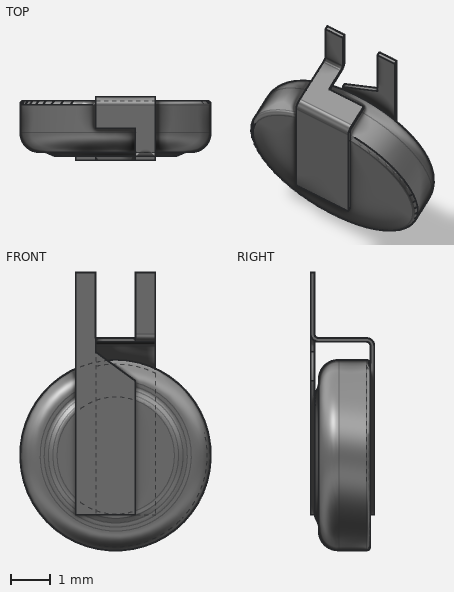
import cadquery as cq
import math

cell_radius = 2.4
can_depth = 1.3
back_edge_radius = 0.1
front_edge_radius = 0.5

cap_base_radius = 1.8
cap_height = 0.1
cap_blend_radius = 0.25
cap_flank_angle = math.radians(25)

sheet = 0.1
bend_inner_radius = 0.1
bend_outer_radius = bend_inner_radius + sheet
tab_left = -1.0
tab_right = 1.0
leg_width = 0.5
tab_bottom = -1.5
leg_top = 4.6
shoulder_high = 2.6
shoulder_low = 1.87
bridge_top = 2.95
bridge_cut_back_depth = 0.7

cap_front = -(can_depth + cap_height)
tab_front = cap_front - sheet


def make_cell():
    """Revolve the half section of the can and its cap around the Y axis."""
    can_front = -can_depth
    blend_width = cap_blend_radius * math.sin(cap_flank_angle)
    blend_rise = cap_blend_radius * (1 - math.cos(cap_flank_angle))
    flank_width = (cap_height - 2 * blend_rise) / math.tan(cap_flank_angle)
    flank_base_radius = cap_base_radius - blend_width
    flank_top_radius = flank_base_radius - flank_width
    cap_flat_radius = flank_top_radius - blend_width
    section = (
        cq.Workplane("ZY")
        .lineTo(cell_radius - back_edge_radius, 0)
        .radiusArc((cell_radius, -back_edge_radius), back_edge_radius)
        .lineTo(cell_radius, can_front + front_edge_radius)
        .radiusArc((cell_radius - front_edge_radius, can_front), front_edge_radius)
        .lineTo(cap_base_radius, can_front)
        .radiusArc((flank_base_radius, can_front - blend_rise), -cap_blend_radius)
        .lineTo(flank_top_radius, cap_front + blend_rise)
        .radiusArc((cap_flat_radius, cap_front), cap_blend_radius)
        .lineTo(0, cap_front)
        .close()
    )
    return section.revolve(360, (0, 0, 0), (0, 1, 0))


def make_front_tab():
    """Flat tab on the cap, narrowing over a sloped shoulder to an upright leg."""
    leg_inner = tab_left + leg_width
    body_right = tab_right - leg_width
    outline = [
        (tab_left, tab_bottom),
        (body_right, tab_bottom),
        (body_right, shoulder_low),
        (leg_inner, shoulder_high),
        (leg_inner, leg_top),
        (tab_left, leg_top),
    ]
    return cq.Workplane("XZ", origin=(0, cap_front, 0)).polyline(outline).close().extrude(sheet)


def make_back_tab():
    """Tab on the back face, bent forward over the cell and up again into a leg."""
    plate_left = tab_left + leg_width
    leg_left = tab_right - leg_width
    bridge_bottom = bridge_top - sheet
    leg_back = tab_front + sheet
    strip = (
        cq.Workplane("YZ", origin=(plate_left, 0, 0))
        .moveTo(0, tab_bottom)
        .lineTo(sheet, tab_bottom)
        .lineTo(sheet, bridge_top - bend_outer_radius)
        .radiusArc((sheet - bend_outer_radius, bridge_top), -bend_outer_radius)
        .lineTo(leg_back + bend_inner_radius, bridge_top)
        .radiusArc((leg_back, bridge_top + bend_inner_radius), bend_inner_radius)
        .lineTo(leg_back, leg_top)
        .lineTo(tab_front, leg_top)
        .lineTo(tab_front, bridge_bottom + bend_outer_radius)
        .radiusArc((tab_front + bend_outer_radius, bridge_bottom), -bend_outer_radius)
        .lineTo(sheet - bend_outer_radius, bridge_bottom)
        .radiusArc((0, bridge_bottom - bend_inner_radius), bend_inner_radius)
        .close()
        .extrude(tab_right - plate_left)
    )
    clearance = (
        cq.Workplane("XY", origin=(plate_left, tab_front, tab_bottom))
        .box(
            leg_left - plate_left,
            -bridge_cut_back_depth - tab_front,
            leg_top - tab_bottom,
            centered=False,
        )
    )
    return strip.cut(clearance)


result = make_cell().union(make_front_tab()).union(make_back_tab())